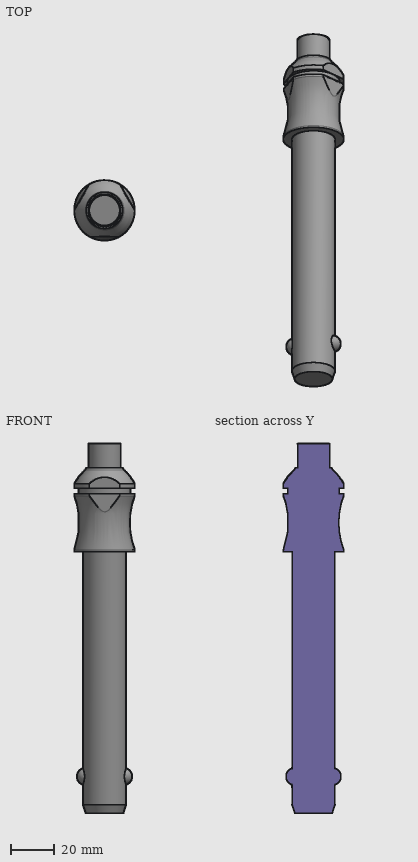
import cadquery as cq
import math


shank_radius = 10.0
shank_length = 120.56
tip_height = 4.0
tip_radius = 8.7

ball_radius = 4.0
ball_reach = 12.8
ball_height_above_tip = 17.0

head_radius = 14.0
rim_height = 1.0
waist_radius = 11.75
waist_z = 13.4
grip_top_z = 2 * waist_z - rim_height
groove_radius = 12.05
groove_width = 2.45
groove_lower_z = grip_top_z + rim_height
groove_upper_z = groove_lower_z + groove_width
collar_height = 2.1
dome_base_z = groove_upper_z + collar_height
dome_height = 6.5
dome_top_radius = 8.9
dome_bulge = 0.4
dome_top_z = dome_base_z + dome_height
neck_height = 0.9
neck_top_radius = 8.4
neck_top_z = dome_top_z + neck_height

button_radius = 7.5
button_top_z = 50.0
button_chamfer_width = 0.5
button_chamfer_height = 0.25

flat_count = 3
flat_distance = head_radius * math.cos(math.pi / (2 * flat_count))
first_flat_angle = -90.0


def point_on_waist(z):
    """Profile point at height z on the arc through both rims and the waist."""
    half_chord = waist_z - rim_height
    sagitta = head_radius - waist_radius
    arc_radius = (half_chord**2 + sagitta**2) / (2 * sagitta)
    centre_radius = waist_radius + arc_radius
    return (centre_radius - math.sqrt(arc_radius**2 - (z - waist_z) ** 2), z)


def dome_middle():
    """Middle of the dome profile, pushed outwards from its chord."""
    run = head_radius - dome_top_radius
    chord = math.hypot(run, dome_height)
    radius = (head_radius + dome_top_radius) / 2 + dome_bulge * dome_height / chord
    z = (dome_base_z + dome_top_z) / 2 + dome_bulge * run / chord
    return (radius, z)


def make_shank():
    return (
        cq.Workplane("XZ")
        .moveTo(0, -shank_length)
        .lineTo(tip_radius, -shank_length)
        .lineTo(shank_radius, tip_height - shank_length)
        .lineTo(shank_radius, rim_height)
        .lineTo(0, rim_height)
        .close()
        .revolve(360, (0, 0), (0, 1))
    )


def make_head():
    waist = (waist_radius, waist_z)
    lower_middle = point_on_waist((rim_height + waist_z) / 2)
    upper_middle = point_on_waist((waist_z + grip_top_z) / 2)
    return (
        cq.Workplane("XZ")
        .lineTo(head_radius, 0)
        .lineTo(head_radius, rim_height)
        .threePointArc(lower_middle, waist)
        .threePointArc(upper_middle, (head_radius, grip_top_z))
        .lineTo(head_radius, groove_lower_z)
        .lineTo(groove_radius, groove_lower_z)
        .lineTo(groove_radius, groove_upper_z)
        .lineTo(head_radius, groove_upper_z)
        .lineTo(head_radius, dome_base_z)
        .threePointArc(dome_middle(), (dome_top_radius, dome_top_z))
        .lineTo(neck_top_radius, neck_top_z)
        .lineTo(button_radius, neck_top_z)
        .lineTo(button_radius, button_top_z - button_chamfer_height)
        .lineTo(button_radius - button_chamfer_width, button_top_z)
        .lineTo(0, button_top_z)
        .close()
        .revolve(360, (0, 0), (0, 1))
    )


def cut_flats(head):
    depth = head_radius
    height = dome_top_z - waist_z
    cutter = cq.Workplane("XY").box(depth, 2 * head_radius, height, centered=(False, True, False))
    cutter = cutter.translate((flat_distance, 0, waist_z))
    for index in range(flat_count):
        angle = first_flat_angle + index * 360 / flat_count
        head = head.cut(cutter.rotate((0, 0, 0), (0, 0, 1), angle))
    return head


def make_balls():
    ball_x = ball_reach - ball_radius
    ball_z = ball_height_above_tip - shank_length
    balls = cq.Workplane("XY").pushPoints([(-ball_x, 0), (ball_x, 0)]).sphere(ball_radius)
    return balls.translate((0, 0, ball_z))


result = make_shank().union(cut_flats(make_head())).union(make_balls())